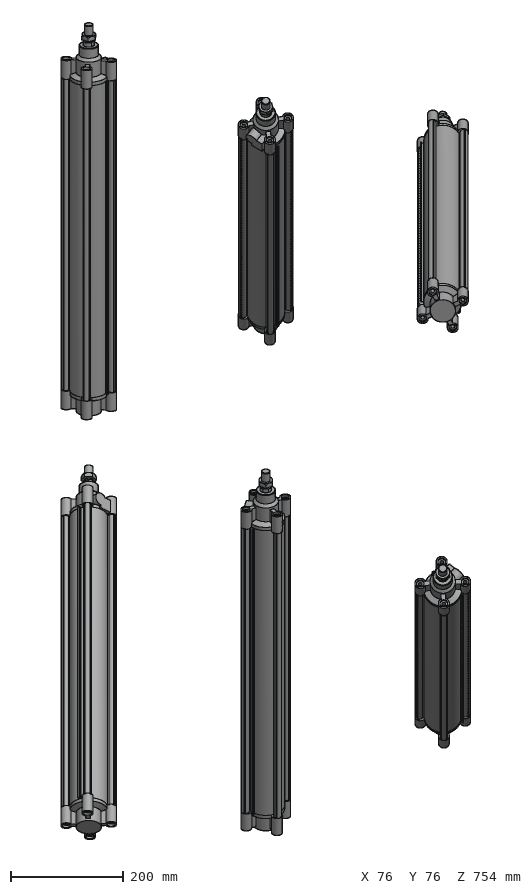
import cadquery as cq
import math


total_length = 754.0
width = 76.0

lug_diameter = 19.5
lug_height = 36.0
lug_offset = width / 2 - lug_diameter / 2
lug_bore_diameter = 13.5
lug_bore_depth = 4.5
lug_hole_diameter = 7.0
lug_hole_depth = 19.0
web_thickness = 8.0
hub_diameter = 45.0
spigot_height = 4.5
flange_thickness = 7.0
flange_cone_height = 4.5

nose_diameter = 35.0
nose_chamfer = 1.1
nose_height = 24.0

port_boss_diameter = 25.0
port_boss_offset = 4.5
port_face = 38.0
port_plate_left = 18.0
port_plate_top = 25.0

barrel_length = 608.5
barrel_diameter = 68.0
flange_diameter = barrel_diameter
lobe_diameter = 13.5
lobe_neck_width = 7.5
lobe_nose_diameter = 16.0
lobe_offset = 29.5
slot_width = 2.0
slot_depth = 3.0

rail_outer_radius = 39.0
rail_thickness = 1.5
rail_root_angle = 24.0
rail_lip_angle = 18.0

rod_diameter = 20.0
rod_shoulder_height = 7.5
flat_width = 18.0
neck_diameter = 13.5
neck_height = 4.5
thread_diameter = 16.0
thread_chamfer = 1.1

nut_width = 24.0
nut_height = 9.0
nut_chamfer_drop = 3.0
wrench_turn = 16.0

barrel_bottom = spigot_height + lug_height
barrel_top = barrel_bottom + barrel_length
nose_bottom = barrel_top + lug_height + spigot_height
nose_top = nose_bottom + nose_height
shoulder_top = nose_top + rod_shoulder_height
nut_bottom = shoulder_top + neck_height

lug_centers = [(x, y) for x in (-lug_offset, lug_offset) for y in (-lug_offset, lug_offset)]


def cylinder(diameter, bottom, height):
    return cq.Workplane("XY").workplane(offset=bottom).circle(diameter / 2).extrude(height)


def cone(bottom_diameter, top_diameter, bottom, height):
    solid = cq.Solid.makeCone(bottom_diameter / 2, top_diameter / 2, height, cq.Vector(0, 0, bottom))
    return cq.Workplane("XY").add(solid)


def cover():
    """Cover standing on z = 0: hub, flange, four lugs on diagonal webs, screw holes from above."""
    body = cylinder(hub_diameter, 0, lug_height + spigot_height)
    body = body.union(cylinder(flange_diameter, 0, flange_thickness))
    body = body.union(cone(flange_diameter, hub_diameter, flange_thickness, flange_cone_height))
    diagonal = 2 * math.sqrt(2) * lug_offset
    for turn in (45, 135):
        web = cq.Workplane("XY").rect(diagonal, web_thickness).extrude(lug_height)
        body = body.union(web.rotate((0, 0, 0), (0, 0, 1), turn))
    lugs = cq.Workplane("XY").pushPoints(lug_centers).circle(lug_diameter / 2).extrude(lug_height)
    body = body.union(lugs)
    top = cq.Workplane("XY").workplane(offset=lug_height).pushPoints(lug_centers)
    body = body.cut(top.circle(lug_bore_diameter / 2).extrude(-lug_bore_depth))
    return body.cut(top.circle(lug_hole_diameter / 2).extrude(-lug_hole_depth))


def port_block():
    """Horizontal port boss and the plate joining it to the lug, standing on z = 0."""
    boss = (
        cq.Workplane("XZ")
        .center(port_boss_offset, lug_height / 2)
        .circle(port_boss_diameter / 2)
        .extrude(-port_face)
    )
    plate_length = port_plate_left + port_boss_offset
    plate = cq.Workplane("XY").box(plate_length, port_face, port_plate_top, centered=False)
    return boss.union(plate.translate((-port_plate_left, 0, 0)))


def make_rear_cover():
    return cover().mirror("XY").translate((0, 0, barrel_bottom))


def make_front_cover():
    body = cover().union(port_block()).translate((0, 0, barrel_top))
    cone_height = (hub_diameter - nose_diameter) / 2
    body = body.union(cone(hub_diameter, nose_diameter, nose_bottom, cone_height))
    nose = cylinder(nose_diameter, nose_bottom, nose_height)
    body = body.union(nose.faces(">Z").chamfer(nose_chamfer))
    return body.cut(cylinder(rod_diameter, barrel_top, nose_top - barrel_top))


def polar(radius, angle):
    return (radius * math.cos(math.radians(angle)), radius * math.sin(math.radians(angle)))


def rail():
    """L-shaped rail on the +X side: a radial wall and a lip concentric with the barrel."""
    inner = rail_outer_radius - rail_thickness
    foot = barrel_diameter / 2 - rail_thickness
    wall_turn = math.degrees(rail_thickness / rail_outer_radius)
    inner_root = rail_root_angle - wall_turn
    middle = (rail_root_angle + rail_lip_angle) / 2
    return (
        cq.Workplane("XY")
        .moveTo(*polar(foot, rail_root_angle))
        .lineTo(*polar(rail_outer_radius, rail_root_angle))
        .threePointArc(polar(rail_outer_radius, middle), polar(rail_outer_radius, rail_lip_angle))
        .lineTo(*polar(inner, rail_lip_angle))
        .threePointArc(polar(inner, (inner_root + rail_lip_angle) / 2), polar(inner, inner_root))
        .lineTo(*polar(foot, inner_root))
        .close()
        .extrude(barrel_length)
    )


def corner_lobe():
    """Ridge on the +X +Y corner: a rounded nose, a slot on either side of it, and lower shoulders."""
    nose_radius = lobe_nose_diameter / 2
    shoulder = cq.Workplane("XY").center(lobe_offset, lobe_offset).circle(lobe_diameter / 2)
    body = shoulder.extrude(barrel_length)
    nose = cq.Workplane("XY").center(lobe_offset, lobe_offset).circle(nose_radius).extrude(barrel_length)
    quadrant = cq.Workplane("XY").box(nose_radius, nose_radius, barrel_length, centered=False)
    body = body.union(nose.intersect(quadrant.translate((lobe_offset, lobe_offset, 0))))
    neck_length = math.sqrt(2) * lobe_offset
    neck = cq.Workplane("XY").center(neck_length / 2, 0).rect(neck_length, lobe_neck_width)
    body = body.union(neck.extrude(barrel_length).rotate((0, 0, 0), (0, 0, 1), 45))
    slot_center = lobe_offset + nose_radius
    across = cq.Workplane("XY").center(slot_center, lobe_offset)
    along = cq.Workplane("XY").center(lobe_offset, slot_center)
    body = body.cut(across.rect(2 * slot_depth, slot_width).extrude(barrel_length))
    return body.cut(along.rect(slot_width, 2 * slot_depth).extrude(barrel_length))


def make_barrel():
    body = cylinder(barrel_diameter, 0, barrel_length)
    lobe = corner_lobe()
    for turn in (0, 90, 180, 270):
        body = body.union(lobe.rotate((0, 0, 0), (0, 0, 1), turn))
    body = body.union(rail()).union(rail().mirror("YZ"))
    return body.translate((0, 0, barrel_bottom))


def make_rod():
    body = cylinder(rod_diameter, barrel_top, shoulder_top - barrel_top)
    flats = (
        cq.Workplane("XY")
        .workplane(offset=nose_top)
        .rect(flat_width, rod_diameter)
        .extrude(rod_shoulder_height)
        .rotate((0, 0, 0), (0, 0, 1), wrench_turn)
    )
    body = body.cut(cylinder(rod_diameter, nose_top, rod_shoulder_height).cut(flats))
    body = body.union(cylinder(neck_diameter, shoulder_top, neck_height))
    thread = cylinder(thread_diameter, nut_bottom, total_length - nut_bottom)
    return body.union(thread.faces(">Z").chamfer(thread_chamfer))


def make_nut():
    corner_diameter = nut_width / math.cos(math.radians(30))
    body = (
        cq.Workplane("XY")
        .polygon(6, corner_diameter)
        .extrude(nut_height)
        .rotate((0, 0, 0), (0, 0, 1), wrench_turn)
    )
    straight_height = nut_height - nut_chamfer_drop
    chamfer = cone(corner_diameter, nut_width, straight_height, nut_chamfer_drop)
    body = body.intersect(cylinder(corner_diameter, 0, straight_height).union(chamfer))
    body = body.cut(cylinder(thread_diameter, 0, nut_height))
    return body.translate((0, 0, nut_bottom))


barrel = make_barrel()
rear_cover = make_rear_cover()
front_cover = make_front_cover()
rod = make_rod()
nut = make_nut()

result = cq.Compound.makeCompound(
    [barrel.val(), rear_cover.val(), front_cover.val(), rod.val(), nut.val()]
)